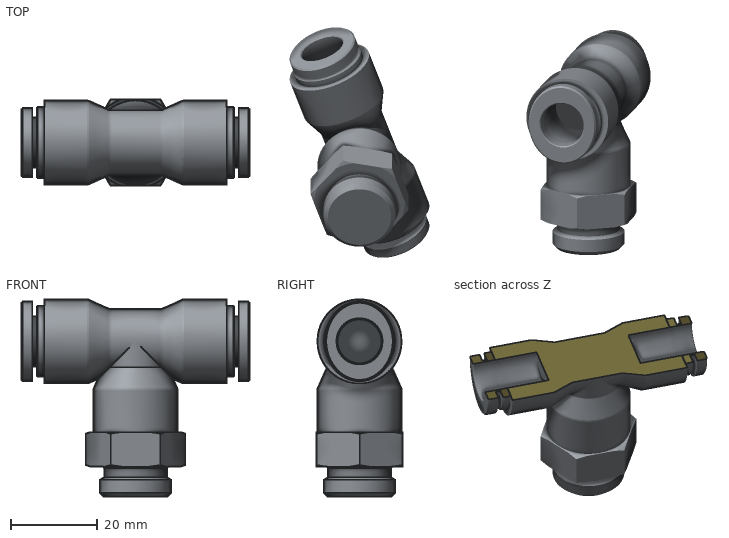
import cadquery as cq
import math


socket_radius = 19.5 / 2
waist_radius = 15.0 / 2
waist_half_length = 6.0
taper_end = 11.0
edge_blend = 1.0
run_half_length = 21.1
branch_length = 21.0
body_bore_radius = 10.15 / 2
body_bore_depth = 10.0

collar_radius = 16.5 / 2
collar_length = 1.8
collar_chamfer = 0.3

release_bore_radius = 10.2 / 2
bore_chamfer = 0.25
neck_radius = 11.7 / 2
sleeve_half_length = 52.8 / 2
flange_thickness = 2.5
flange_width = 16.05
flange_height = 18.5
flange_chamfer = 0.35

overall_height = 45.75
hex_across_flats = 20.0
hex_height = 8.0
hex_face_radius = 10.5
hex_chamfer_height = 0.4
undercut_radius = 14.6 / 2
undercut_length = 2.5
undercut_flare = 0.2
flare_height = 0.4
thread_radius = 16.66 / 2
thread_shoulder_angle = 30.0
thread_tip_chamfer = 1.0

collar_end = run_half_length + collar_length
stud_bottom = socket_radius - overall_height
hex_bottom = -branch_length - hex_height
thread_top = hex_bottom - undercut_length
shoulder_height = (thread_radius - undercut_radius) * math.tan(math.radians(thread_shoulder_angle))
hex_across_corners = hex_across_flats / math.cos(math.pi / 6)


def arm(length):
    """Solid of revolution along +X: waist, taper and socket."""
    return (
        cq.Workplane("XY")
        .polyline([
            (0, 0),
            (0, waist_radius),
            (waist_half_length, waist_radius),
            (taper_end, socket_radius),
            (length, socket_radius),
            (length, 0),
        ])
        .close()
        .revolve(360, (0, 0, 0), (1, 0, 0))
    )


def ring_edges(x):
    """Selector for the circle around the run at the given X."""
    reach = 0.01
    return cq.selectors.BoxSelector(
        (x - reach, -collar_radius * 2, -collar_radius * 2),
        (x + reach, collar_radius * 2, collar_radius * 2),
        boundingbox=True,
    )


def make_tee_body():
    half_run = arm(run_half_length)
    half_run = half_run.edges(ring_edges(waist_half_length)).fillet(edge_blend)
    half_run = half_run.edges(ring_edges(taper_end)).fillet(edge_blend)
    branch = arm(branch_length)
    branch = branch.edges(ring_edges(taper_end)).fillet(edge_blend)
    branch = branch.rotate((0, 0, 0), (0, 1, 0), 90)
    body = half_run.union(half_run.mirror("YZ")).union(branch)
    for side in (-1, 1):
        bore = (
            cq.Workplane("YZ", origin=(side * run_half_length, 0, 0))
            .circle(body_bore_radius)
            .extrude(-side * body_bore_depth)
        )
        body = body.cut(bore)
    return body


def make_collar():
    """Collar at the +X end of the run."""
    return (
        cq.Workplane("YZ", origin=(run_half_length, 0, 0))
        .circle(collar_radius)
        .extrude(collar_length)
        .faces(">X").chamfer(collar_chamfer)
        .faces(">X").workplane()
        .circle(release_bore_radius)
        .cutThruAll()
    )


def make_release_sleeve():
    """Sleeve at the +X end of the run: oval flange on a round neck."""
    flange_inner_face = sleeve_half_length - flange_thickness
    flange = (
        cq.Workplane("YZ", origin=(flange_inner_face, 0, 0))
        .ellipse(flange_width / 2, flange_height / 2)
        .extrude(flange_thickness)
        .faces(">X").chamfer(flange_chamfer)
    )
    neck = (
        cq.Workplane("YZ", origin=(collar_end, 0, 0))
        .circle(neck_radius)
        .extrude(flange_inner_face - collar_end)
    )
    bore = (
        cq.Workplane("YZ", origin=(collar_end, 0, 0))
        .circle(release_bore_radius)
        .extrude(sleeve_half_length - collar_end)
    )
    bore_mouth = cq.Workplane(cq.Solid.makeCone(
        release_bore_radius,
        release_bore_radius + bore_chamfer,
        bore_chamfer,
        cq.Vector(sleeve_half_length - bore_chamfer, 0, 0),
        cq.Vector(1, 0, 0),
    ))
    return flange.union(neck).cut(bore).cut(bore_mouth)


def make_hex():
    corner_radius = hex_across_corners / 2
    prism = (
        cq.Workplane("XY", origin=(0, 0, hex_bottom))
        .polygon(6, hex_across_corners)
        .extrude(hex_height)
    )
    corner_trim = (
        cq.Workplane("XZ")
        .polyline([
            (0, hex_bottom),
            (hex_face_radius, hex_bottom),
            (corner_radius, hex_bottom + hex_chamfer_height),
            (corner_radius, -branch_length - hex_chamfer_height),
            (hex_face_radius, -branch_length),
            (0, -branch_length),
        ])
        .close()
        .revolve(360, (0, 0, 0), (0, 1, 0))
    )
    return prism.intersect(corner_trim)


def make_stud():
    spigot = (
        cq.Workplane("XZ")
        .polyline([
            (0, hex_bottom),
            (undercut_radius + undercut_flare, hex_bottom),
            (undercut_radius, hex_bottom - flare_height),
            (undercut_radius, thread_top),
            (thread_radius, thread_top - shoulder_height),
            (thread_radius, stud_bottom + thread_tip_chamfer),
            (thread_radius - thread_tip_chamfer, stud_bottom),
            (0, stud_bottom),
        ])
        .close()
        .revolve(360, (0, 0, 0), (0, 1, 0))
    )
    return make_hex().union(spigot)


tee_body = make_tee_body()
stud = make_stud()
bodies = [tee_body.val(), stud.val()]
for make_fitting in (make_collar, make_release_sleeve):
    fitting = make_fitting()
    bodies.append(fitting.val())
    bodies.append(fitting.mirror("YZ").val())

result = cq.Compound.makeCompound(bodies)